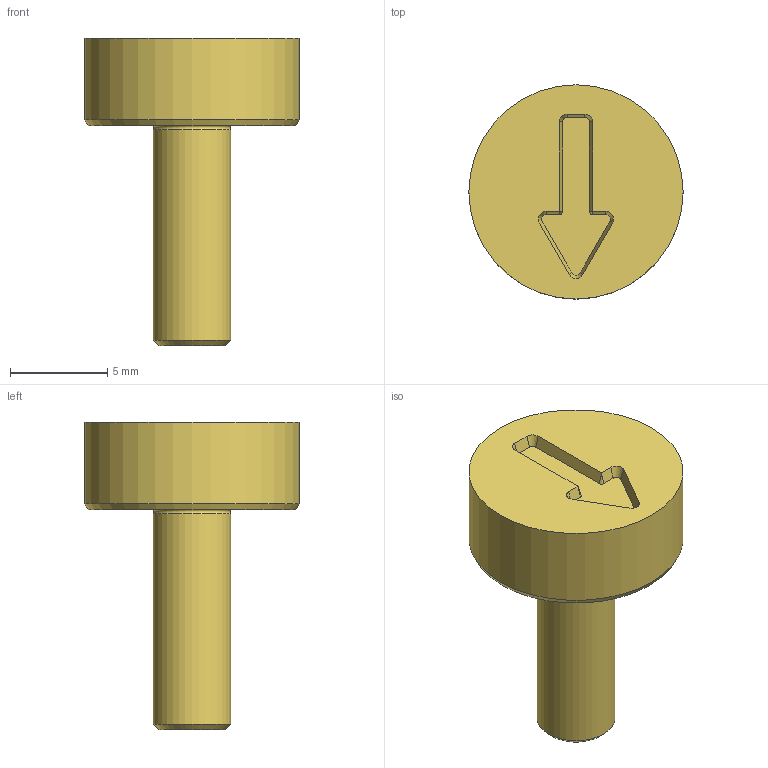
import math

import cadquery as cq

HEAD_DIAMETER = 11.0
HEAD_HEIGHT = 4.5
HEAD_CHAMFER_HEIGHT = 0.3
HEAD_CHAMFER_ANGLE = 30.0
SHAFT_DIAMETER = 4.0
TOTAL_HEIGHT = 15.8
SHAFT_TIP_CHAMFER = 0.3

GROOVE_WIDTH = 0.2
GROOVE_DEPTH = 0.04

ARROW_DEPTH = 0.6
ARROW_DRAFT = 15.0
ARROW_TAIL_Y = 4.0
ARROW_SHOULDER_Y = -1.0
ARROW_STEM_HALF_WIDTH = 0.85
ARROW_HEAD_HALF_WIDTH = 2.22
ARROW_FLANK_ANGLE = 60.0
ARROW_CORNER_RADIUS = 0.4

HEAD_CHAMFER_WIDTH = HEAD_CHAMFER_HEIGHT * math.tan(math.radians(HEAD_CHAMFER_ANGLE))
SHAFT_LENGTH = TOTAL_HEIGHT - HEAD_HEIGHT
ARROW_TIP_Y = ARROW_SHOULDER_Y - ARROW_HEAD_HALF_WIDTH * math.tan(math.radians(ARROW_FLANK_ANGLE))


def make_head():
    """Round head standing on the XY plane, with a chamfered lower rim."""
    head = cq.Workplane("XY").circle(HEAD_DIAMETER / 2).extrude(HEAD_HEIGHT)
    return head.faces("<Z").edges().chamfer(HEAD_CHAMFER_HEIGHT, HEAD_CHAMFER_WIDTH)


def make_shaft():
    """Shaft hanging below the XY plane, with a chamfered tip and a round groove at its top."""
    radius = SHAFT_DIAMETER / 2
    profile = (
        cq.Workplane("XZ")
        .lineTo(radius, 0)
        .threePointArc((radius - GROOVE_DEPTH, -GROOVE_WIDTH / 2), (radius, -GROOVE_WIDTH))
        .lineTo(radius, SHAFT_TIP_CHAMFER - SHAFT_LENGTH)
        .lineTo(radius - SHAFT_TIP_CHAMFER, -SHAFT_LENGTH)
        .lineTo(0, -SHAFT_LENGTH)
        .close()
    )
    return profile.revolve(360, (0, 0), (0, 1))


def make_arrow_pocket():
    """Drafted arrow that narrows downward from the top face; its outward corners are rounded."""
    tail_corners = [
        (-ARROW_STEM_HALF_WIDTH, ARROW_TAIL_Y),
        (ARROW_STEM_HALF_WIDTH, ARROW_TAIL_Y),
    ]
    head_corners = [
        (ARROW_HEAD_HALF_WIDTH, ARROW_SHOULDER_Y),
        (0, ARROW_TIP_Y),
        (-ARROW_HEAD_HALF_WIDTH, ARROW_SHOULDER_Y),
    ]
    right_inner_corner = (ARROW_STEM_HALF_WIDTH, ARROW_SHOULDER_Y)
    left_inner_corner = (-ARROW_STEM_HALF_WIDTH, ARROW_SHOULDER_Y)

    outline = [*tail_corners, right_inner_corner, *head_corners, left_inner_corner, tail_corners[0]]
    arrow = cq.Sketch().polygon(outline)
    for x, y in tail_corners + head_corners:
        arrow = arrow.reset().vertices(cq.NearestToPointSelector((x, y, 0))).fillet(ARROW_CORNER_RADIUS)

    top_plane = cq.Workplane("XY").workplane(offset=HEAD_HEIGHT)
    return top_plane.placeSketch(arrow.reset()).extrude(-ARROW_DEPTH, taper=ARROW_DRAFT)


result = make_head().union(make_shaft()).cut(make_arrow_pocket())